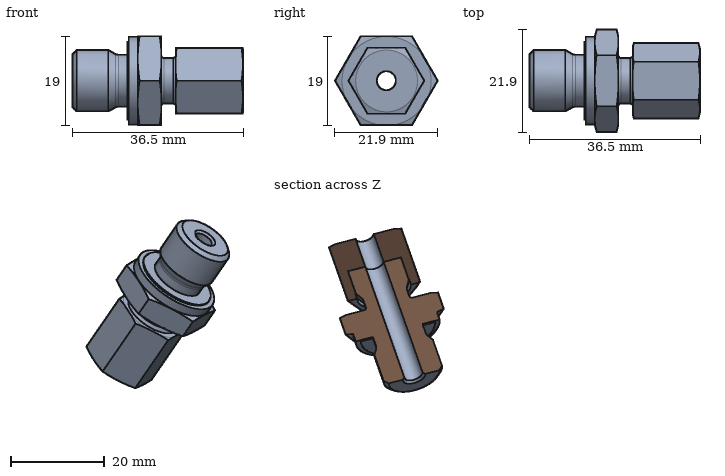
import cadquery as cq
import math


ring_start = 11.68
collar_start = 12.0
hex_start = 13.98
hex_end = 19.0
relief_end = 21.57
nut_start = 22.1
nut_end = 36.5

thread_radius = 6.57
tip_chamfer = 0.9
thread_end = 7.7
neck_radius = 5.6
undercut_angle = math.radians(30)
undercut_fillet = 1.25

collar_radius = 9.4
ring_radius = 8.32
hex_width = 19.0
hex_chamfer_radius = hex_width / 2

relief_radius = 4.9
relief_fillet = 0.5
nut_thread_radius = 6.0
stud_end = (nut_start + nut_end) / 2

nut_width = 14.0
nut_front_chamfer_radius = 7.25
nut_back_chamfer_radius = 6.6

bore_radius = 2.0
bore_chamfer = 0.5
hex_chamfer_angle = math.radians(15)


def revolve_about_x(profile):
    """Turn a closed (axial, radial) profile around the X axis."""
    return profile.close().revolve(360, (0, 0, 0), (1, 0, 0))


def cylinder_along_x(start, end, radius):
    return cq.Workplane("YZ", origin=(start, 0, 0)).circle(radius).extrude(end - start)


def chamfered_hexagon(start, end, width, start_radius, end_radius):
    """Hexagonal prism with flats facing up and down and conically turned corners."""
    corner_radius = width / math.sqrt(3)
    start_depth = (corner_radius - start_radius) * math.tan(hex_chamfer_angle)
    end_depth = (corner_radius - end_radius) * math.tan(hex_chamfer_angle)
    prism = cq.Workplane("YZ", origin=(start, 0, 0)).polygon(6, 2 * corner_radius).extrude(end - start)
    envelope = revolve_about_x(
        cq.Workplane("XY")
        .moveTo(start, 0)
        .lineTo(start, start_radius)
        .lineTo(start + start_depth, corner_radius)
        .lineTo(end - end_depth, corner_radius)
        .lineTo(end, end_radius)
        .lineTo(end, 0)
    )
    return prism.intersect(envelope)


def make_threaded_end():
    """Chamfered thread, sloped undercut, neck and collar."""
    slope_bottom = neck_radius + undercut_fillet * (1 - math.cos(undercut_angle))
    slope_end = thread_end + (thread_radius - slope_bottom) / math.tan(undercut_angle)
    neck_start = slope_end + undercut_fillet * math.sin(undercut_angle)
    return revolve_about_x(
        cq.Workplane("XY")
        .lineTo(0, thread_radius - tip_chamfer)
        .lineTo(tip_chamfer, thread_radius)
        .lineTo(thread_end, thread_radius)
        .lineTo(slope_end, slope_bottom)
        .tangentArcPoint((neck_start, neck_radius), relative=False)
        .lineTo(collar_start, neck_radius)
        .lineTo(collar_start, collar_radius)
        .lineTo(hex_start, collar_radius)
        .lineTo(hex_start, 0)
    )


def make_nut_end():
    """Filleted relief groove that slopes up to the cylinder inside the nut."""
    slope_end = relief_end + (nut_thread_radius - relief_radius) / math.tan(undercut_angle)
    return revolve_about_x(
        cq.Workplane("XY")
        .moveTo(hex_end, 0)
        .lineTo(hex_end, relief_radius + relief_fillet)
        .radiusArc((hex_end + relief_fillet, relief_radius), -relief_fillet)
        .lineTo(relief_end, relief_radius)
        .lineTo(slope_end, nut_thread_radius)
        .lineTo(stud_end, nut_thread_radius)
        .lineTo(stud_end, 0)
    )


def make_stud():
    hexagon = chamfered_hexagon(hex_start, hex_end, hex_width, hex_chamfer_radius, hex_chamfer_radius)
    blank = make_threaded_end().union(hexagon).union(make_nut_end())
    mouth = revolve_about_x(
        cq.Workplane("XY")
        .lineTo(0, bore_radius + bore_chamfer)
        .lineTo(bore_chamfer, bore_radius)
        .lineTo(bore_chamfer, 0)
    )
    return blank.cut(cylinder_along_x(0, stud_end, bore_radius)).cut(mouth)


def make_sealing_ring():
    """Flat ring around the neck, resting on the collar face."""
    disc = cylinder_along_x(ring_start, collar_start, ring_radius)
    return disc.cut(cylinder_along_x(ring_start, collar_start, neck_radius))


def make_nut():
    """Hexagonal nut with a blind socket for the stud and a through bore."""
    blank = chamfered_hexagon(
        nut_start, nut_end, nut_width, nut_front_chamfer_radius, nut_back_chamfer_radius
    )
    socket = cylinder_along_x(nut_start, stud_end, nut_thread_radius)
    return blank.cut(socket).cut(cylinder_along_x(stud_end, nut_end, bore_radius))


stud = make_stud()
sealing_ring = make_sealing_ring()
nut = make_nut()

result = cq.Compound.makeCompound([stud.val(), sealing_ring.val(), nut.val()])